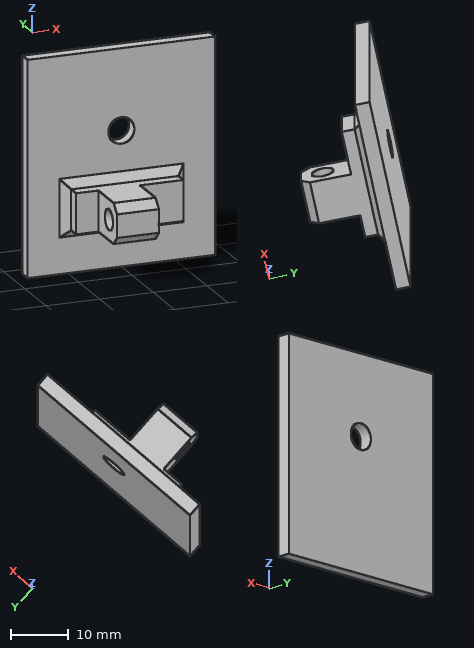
import cadquery as cq

plate_width = 35.0
plate_height = 40.0
plate_thickness = 2.6
plate_hole_diameter = 4.8
plate_hole_height = 24.9

block_width = 20.0
block_height = 7.5
block_center_height = 12.1
flare = 1.6
block_depth = 2.3

total_depth = 15.4
lug_width = 7.8
lug_center_x = -1.95
lug_chamfer = 1.6
lug_hole_diameter = 3.8
lug_hole_to_tip = 3.85

plate_front = -plate_thickness
flare_front = plate_front - flare
block_front = flare_front - block_depth
lug_tip = -total_depth


def box_between(width, height, y_front, y_back, center_x, center_z):
    """Box spanning y_front to y_back, centred in X and Z on the given point."""
    depth = y_back - y_front
    return cq.Workplane("XY").box(width, depth, height).translate(
        (center_x, (y_front + y_back) / 2, center_z)
    )


def make_plate():
    plate = box_between(plate_width, plate_height, plate_front, 0, 0, plate_height / 2)
    hole = (
        cq.Workplane("XZ")
        .center(0, plate_hole_height)
        .circle(plate_hole_diameter / 2)
        .extrude(plate_thickness)
    )
    return plate.cut(hole)


def make_block():
    """Rectangular block on a flared foot."""
    foot = (
        cq.Workplane("XZ", origin=(0, plate_front, block_center_height))
        .rect(block_width + 2 * flare, block_height + 2 * flare)
        .workplane(offset=flare)
        .rect(block_width, block_height)
        .loft(ruled=True)
    )
    block = box_between(
        block_width, block_height, block_front, flare_front, 0, block_center_height
    )
    return foot.union(block)


def make_lug():
    """Lug with chamfered top and bottom tip edges and a cross hole along X."""
    lug = box_between(
        lug_width, block_height, lug_tip, block_front, lug_center_x, block_center_height
    )
    lug = lug.faces("<Y").edges("|X").chamfer(lug_chamfer)
    hole = (
        cq.Workplane("YZ", origin=(lug_center_x, 0, 0))
        .center(lug_tip + lug_hole_to_tip, block_center_height)
        .circle(lug_hole_diameter / 2)
        .extrude(lug_width / 2, both=True)
    )
    return lug.cut(hole)


result = make_plate().union(make_block()).union(make_lug())